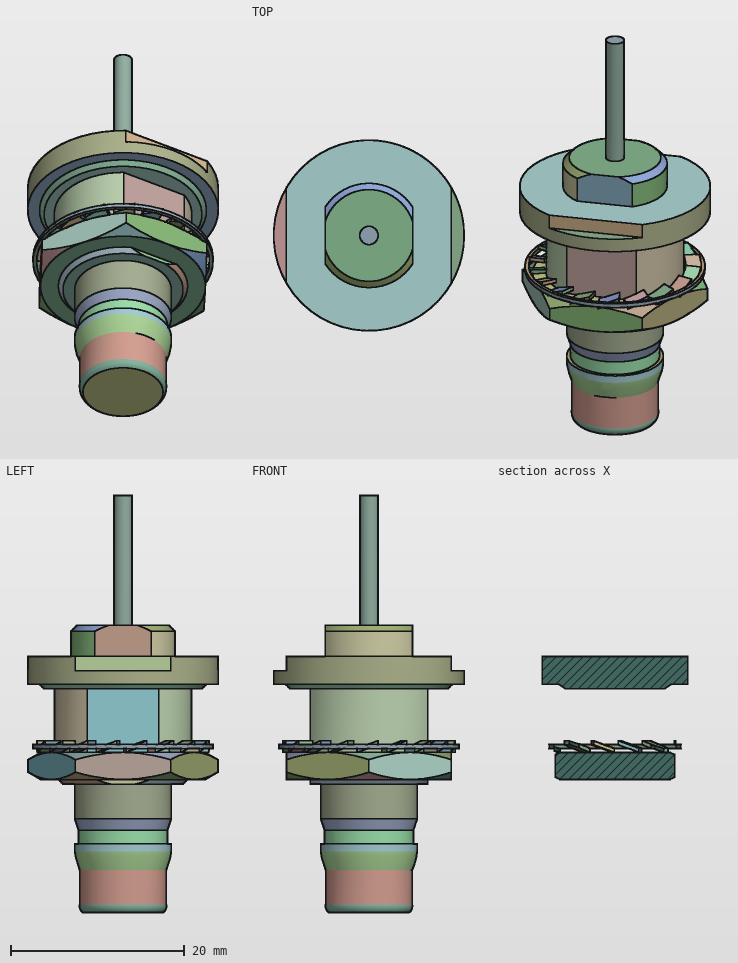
import cadquery as cq
import math

TOTAL_HEIGHT = 48.1
COLLAR_TOP = 33.15
FLANGE_TOP = 29.55
FLANGE_STEP = 27.9
FLANGE_BOTTOM = 26.3
NECK_TOP = 25.8
NUT_TOP = 18.45
NUT_BOTTOM = 15.35
THREAD_BOTTOM = 14.8
GROOVE_TAPER_TOP = 10.8
GROOVE_TOP = 9.5
RIB_TOP = 7.95
RIB_EDGE = 7.05
RIB_BOTTOM = 4.9
TIP_ROUND_HEIGHT = 0.95

FLANGE_DIAMETER = 22.0
FLANGE_RADIUS = FLANGE_DIAMETER / 2
CABLE_RADIUS = 1.05
COLLAR_RADIUS = 6.0
COLLAR_CHAMFER = 0.7
SEAT_RADIUS = 9.6
SEAT_BEVEL_ANGLE = 45.0
THREAD_RADIUS = 7.95
THREAD_CHAMFER = 1.0
PLUG_RADIUS = 5.6
GROOVE_RADIUS = 5.15
TIP_RADIUS = 5.0
TIP_FACE_RADIUS = 4.6
RIB_BULGE = 0.1

COLLAR_FLATS = 10.1
FLANGE_FLATS = 19.0
THREAD_FLATS = 13.55

NUT_FLATS = FLANGE_FLATS
NUT_CORNER_RADIUS = NUT_FLATS / math.sqrt(3)
NUT_CHAMFER_ANGLE = 30.0

WASHER_OUTER_RADIUS = 10.4
WASHER_RING_RADIUS = 9.95
TOOTH_TIP_RADIUS = 8.2
WASHER_THICKNESS = 0.5
WASHER_HEIGHT = 1.35
TOOTH_COUNT = 18
TOOTH_LENGTH = 2.4
FIRST_TOOTH_ANGLE = 9.0


def cylinder(radius, bottom, top):
    return cq.Workplane("XY").workplane(offset=bottom).circle(radius).extrude(top - bottom)


def slab(width, bottom, top):
    """Block as wide as a pair of flats in X and clear of the part in Y."""
    return (
        cq.Workplane("XY")
        .workplane(offset=bottom)
        .rect(width, 3 * FLANGE_RADIUS)
        .extrude(top - bottom)
    )


def make_plug():
    """Turned mating end: rounded tip, latching rib, groove and shank."""
    rib_middle_radius = (PLUG_RADIUS + TIP_RADIUS) / 2 + RIB_BULGE
    rib_middle = (RIB_EDGE + RIB_BOTTOM) / 2
    tip_round_width = TIP_RADIUS - TIP_FACE_RADIUS
    tip_arc_middle = (
        TIP_FACE_RADIUS + tip_round_width * math.sin(math.pi / 4),
        TIP_ROUND_HEIGHT * (1 - math.cos(math.pi / 4)),
    )
    return (
        cq.Workplane("XZ")
        .moveTo(0, 0)
        .lineTo(TIP_FACE_RADIUS, 0)
        .threePointArc(tip_arc_middle, (TIP_RADIUS, TIP_ROUND_HEIGHT))
        .lineTo(TIP_RADIUS, RIB_BOTTOM)
        .threePointArc((rib_middle_radius, rib_middle), (PLUG_RADIUS, RIB_EDGE))
        .lineTo(PLUG_RADIUS, RIB_TOP)
        .lineTo(GROOVE_RADIUS, RIB_TOP)
        .lineTo(GROOVE_RADIUS, GROOVE_TOP)
        .lineTo(PLUG_RADIUS, GROOVE_TAPER_TOP)
        .lineTo(PLUG_RADIUS, THREAD_BOTTOM)
        .lineTo(0, THREAD_BOTTOM)
        .close()
        .revolve(360, (0, 0), (0, 1))
    )


def make_thread():
    """Threaded neck with two flats and a chamfered lower end."""
    neck = cylinder(THREAD_RADIUS, THREAD_BOTTOM, NECK_TOP).faces("<Z").chamfer(THREAD_CHAMFER)
    return neck.intersect(slab(THREAD_FLATS, THREAD_BOTTOM, NECK_TOP))


def make_flange():
    """Round flange with flats on its upper part and a bevelled seat below."""
    seat = (
        cq.Workplane("XY")
        .workplane(offset=FLANGE_BOTTOM)
        .circle(SEAT_RADIUS)
        .extrude(NECK_TOP - FLANGE_BOTTOM, taper=SEAT_BEVEL_ANGLE)
    )
    lower = cylinder(FLANGE_RADIUS, FLANGE_BOTTOM, FLANGE_STEP)
    upper = cylinder(FLANGE_RADIUS, FLANGE_STEP, FLANGE_TOP)
    upper = upper.intersect(slab(FLANGE_FLATS, FLANGE_STEP, FLANGE_TOP))
    return lower.union(upper).union(seat)


def make_collar():
    """Chamfered collar with two flats."""
    collar = cylinder(COLLAR_RADIUS, FLANGE_TOP, COLLAR_TOP).faces(">Z").chamfer(COLLAR_CHAMFER)
    return collar.intersect(slab(COLLAR_FLATS, FLANGE_TOP, COLLAR_TOP))


def make_nut():
    """Hexagon with flats on +X and -X, its corners chamfered at both ends."""
    height = NUT_TOP - NUT_BOTTOM
    rise = (NUT_CORNER_RADIUS - NUT_FLATS / 2) * math.tan(math.radians(NUT_CHAMFER_ANGLE))
    hexagon = (
        cq.Workplane("XY")
        .workplane(offset=NUT_BOTTOM)
        .transformed(rotate=(0, 0, 90))
        .polygon(6, 2 * NUT_CORNER_RADIUS)
        .extrude(height)
    )
    envelope = (
        cq.Workplane("XZ")
        .moveTo(0, NUT_BOTTOM)
        .lineTo(NUT_FLATS / 2, NUT_BOTTOM)
        .lineTo(NUT_CORNER_RADIUS, NUT_BOTTOM + rise)
        .lineTo(NUT_CORNER_RADIUS, NUT_TOP - rise)
        .lineTo(NUT_FLATS / 2, NUT_TOP)
        .lineTo(0, NUT_TOP)
        .close()
        .revolve(360, (0, 0), (0, 1))
    )
    return hexagon.intersect(envelope)


def make_connector():
    """Plug, neck, nut, flange, collar and cable as one body."""
    cable = cylinder(CABLE_RADIUS, COLLAR_TOP, TOTAL_HEIGHT)
    connector = make_plug()
    for section in (make_thread(), make_nut(), make_flange(), make_collar(), cable):
        connector = connector.union(section)
    return connector


def make_tooth():
    """Sloping tooth centred on +X, its leading end raised above the ring."""
    low_end = NUT_TOP
    high_end = NUT_TOP + WASHER_HEIGHT
    plate = (
        cq.Workplane("YZ")
        .moveTo(-TOOTH_LENGTH / 2, low_end)
        .lineTo(TOOTH_LENGTH / 2, high_end - WASHER_THICKNESS)
        .lineTo(TOOTH_LENGTH / 2, high_end)
        .lineTo(-TOOTH_LENGTH / 2, low_end + WASHER_THICKNESS)
        .close()
        .extrude(WASHER_OUTER_RADIUS)
    )
    tooth_zone = (
        cq.Workplane("XY")
        .workplane(offset=low_end)
        .circle(WASHER_RING_RADIUS)
        .circle(TOOTH_TIP_RADIUS)
        .extrude(WASHER_HEIGHT)
    )
    return plate.intersect(tooth_zone)


def make_washer():
    """Flat ring at mid-height with sloping teeth pointing inwards."""
    ring_bottom = NUT_TOP + (WASHER_HEIGHT - WASHER_THICKNESS) / 2
    washer = (
        cq.Workplane("XY")
        .workplane(offset=ring_bottom)
        .circle(WASHER_OUTER_RADIUS)
        .circle(WASHER_RING_RADIUS)
        .extrude(WASHER_THICKNESS)
    )
    tooth = make_tooth()
    pitch = 360 / TOOTH_COUNT
    for index in range(TOOTH_COUNT):
        angle = FIRST_TOOTH_ANGLE + index * pitch
        washer = washer.union(tooth.rotate((0, 0, 0), (0, 0, 1), angle))
    return washer


connector = make_connector()
lock_washer = make_washer()

result = cq.Compound.makeCompound([connector.val(), lock_washer.val()])